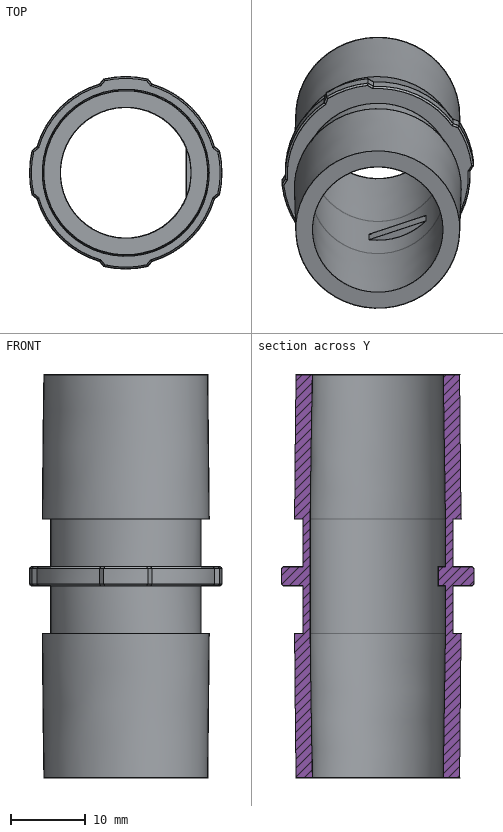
import cadquery as cq
import math

total_length = 54.1
sleeve_length = 19.4
neck_diameter = 20.2
sleeve_end_diameter = 22.0
sleeve_shoulder_diameter = 22.4

bore_end_diameter = 17.5
bore_neck_diameter = 18.1

flange_thickness = 2.6
flange_diameter = 24.8
lug_outer_diameter = 25.82
lug_count = 4
lug_tip_width = 5.9
lug_root_width = 7.0
flange_edge_chamfer = 0.25

bore_flat_distance = 8.1

half_length = total_length / 2
shoulder_z = half_length - sleeve_length


def make_outer_body():
    """Neck and both tapered sleeves, revolved as one solid."""
    profile = [
        (0, -half_length),
        (sleeve_end_diameter / 2, -half_length),
        (sleeve_shoulder_diameter / 2, -shoulder_z),
        (neck_diameter / 2, -shoulder_z),
        (neck_diameter / 2, shoulder_z),
        (sleeve_shoulder_diameter / 2, shoulder_z),
        (sleeve_end_diameter / 2, half_length),
        (0, half_length),
    ]
    return cq.Workplane("XZ").polyline(profile).close().revolve(360, (0, 0), (0, 1))


def make_bore():
    """Through bore that tapers in from the neck to each end."""
    profile = [
        (0, -half_length),
        (bore_end_diameter / 2, -half_length),
        (bore_neck_diameter / 2, -shoulder_z),
        (bore_neck_diameter / 2, shoulder_z),
        (bore_end_diameter / 2, half_length),
        (0, half_length),
    ]
    return cq.Workplane("XZ").polyline(profile).close().revolve(360, (0, 0), (0, 1))


def make_flange_disc(diameter):
    """Solid disc of the flange thickness, centred on the origin."""
    return cq.Workplane("XY").circle(diameter / 2).extrude(flange_thickness / 2, both=True)


def make_lug(angle):
    """One lug with sloping sides, rounded at its tip by the lug circle."""
    tip_half = lug_tip_width / 2
    root_half = lug_root_width / 2
    tip_radius = lug_outer_diameter / 2
    tip_x = math.sqrt(tip_radius**2 - tip_half**2)
    root_x = math.sqrt((flange_diameter / 2) ** 2 - root_half**2)
    return (
        cq.Workplane("XY")
        .moveTo(0, 0)
        .lineTo(root_x, -root_half)
        .lineTo(tip_x, -tip_half)
        .threePointArc((tip_radius, 0), (tip_x, tip_half))
        .lineTo(root_x, root_half)
        .close()
        .extrude(flange_thickness / 2, both=True)
        .rotate((0, 0, 0), (0, 0, 1), angle)
    )


def make_flange():
    """Flange disc with evenly spaced lugs and bevelled rims."""
    flange = make_flange_disc(flange_diameter)
    for index in range(lug_count):
        flange = flange.union(make_lug(index * 360 / lug_count))
    return flange.faces("<Z or >Z").edges().chamfer(flange_edge_chamfer)


def make_bore_flat():
    """Bore-filling segment beyond the flat, within the flange thickness."""
    segment_cutter = (
        cq.Workplane("XY")
        .box(neck_diameter, neck_diameter, flange_thickness)
        .translate((bore_flat_distance + neck_diameter / 2, 0, 0))
    )
    return make_flange_disc(neck_diameter).intersect(segment_cutter)


result = make_outer_body().union(make_flange()).cut(make_bore()).union(make_bore_flat())